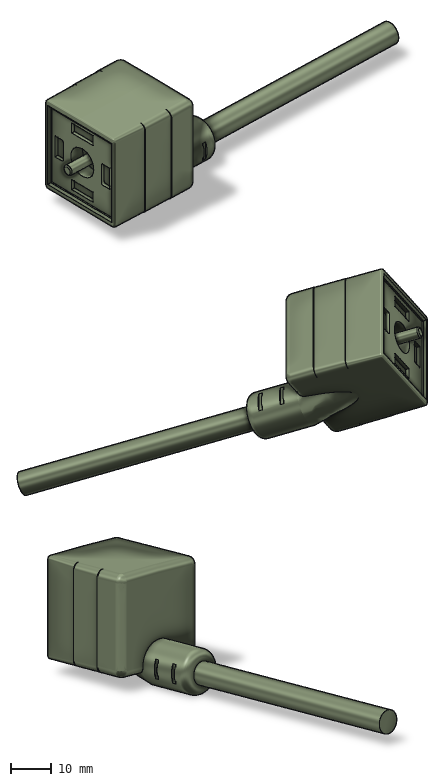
import cadquery as cq

total_length = 110.9

body_bottom = -13.4
roof_ridge = 13.4
roof_slope = 0.01
body_depth = 27.1
flat_half_width = 11.5
rear_step_y = 18.6
front_step_y = 10.0
rear_widths = (27.4, 27.2)
middle_widths = (26.4, 26.6)
front_widths = (25.1, 25.7)
back_rounding = 2.0
front_rounding = 0.5

recess_width = 21.7
recess_height = 22.5
recess_depth = 0.9
bevel_width = 0.7
bevel_depth = 0.4

slot_thickness = 3.0
slot_depth = 1.0
long_slot = 7.7
short_slot = 6.3
slot_offset_z = 8.5
slot_offset_x = 8.3
short_slot_rounding = 0.5
well_diameter = 8.2
well_depth = 4.0
pin_diameter = 2.9
pin_reach = 4.3
pin_bevel = 0.3

sleeve_diameter = 12.0
sleeve_length = 14.9
sleeve_rounding = 2.0
sleeve_z = -11.3
cable_diameter = 6.2
cable_end_y = total_length - pin_reach
sleeve_end_y = body_depth + sleeve_length

notch_width = 1.0
notch_depth = 0.5
notch_pitch = 6.0
first_notch_y = body_depth + 4.4

hump_slope = 0.28
hump_end_y = 11.1


def at_y(y):
    """Workplane facing +Y at the given depth; its local y axis points along +Z."""
    return cq.Workplane("XZ", origin=(0, y, 0)).transformed(rotate=(0, 180, 0))


def rod(diameter, y_start, y_end, z=0.0):
    return at_y(y_start).center(0, z).circle(diameter / 2).extrude(y_end - y_start)


def box(width, height, y_start, y_end):
    return at_y(y_start).rect(width, height).extrude(y_end - y_start)


def section_outline(width, y):
    """Rounded outline whose roof rises slightly to a ridge in the middle."""
    half_width = width / 2
    roof_edge = roof_ridge - roof_slope * half_width
    corners = [
        (-half_width, body_bottom),
        (half_width, body_bottom),
        (half_width, roof_edge),
        (0, roof_ridge),
        (-half_width, roof_edge),
    ]
    prism = at_y(y).polyline(corners).close().extrude(1.1)
    rounded = prism.edges("|Y").edges("<X or >X").fillet(half_width - flat_half_width)
    return rounded.faces("<Y").wires().val()


def housing_section(widths, y_front, y_back):
    """Rounded block with its own width at each end."""
    outlines = [section_outline(widths[0], y_front), section_outline(widths[1], y_back)]
    return cq.Workplane(cq.Solid.makeLoft(outlines, True))


def housing():
    rear = housing_section(rear_widths, rear_step_y, body_depth).faces(">Y").edges().fillet(back_rounding)
    middle = housing_section(middle_widths, front_step_y, rear_step_y)
    front = housing_section(front_widths, 0, front_step_y).faces("<Y").edges().fillet(front_rounding)
    return rear.union(middle).union(front)


def recess():
    pocket = box(recess_width, recess_height, 0, recess_depth)
    bevel = (
        at_y(0)
        .rect(recess_width + 2 * bevel_width, recess_height + 2 * bevel_width)
        .workplane(offset=bevel_depth)
        .rect(recess_width, recess_height)
        .loft()
    )
    return pocket.union(bevel)


def contact_openings():
    floor_y = recess_depth + slot_depth
    horizontal = box(long_slot, slot_thickness, recess_depth, floor_y)
    upright = box(slot_thickness, short_slot, recess_depth, floor_y)
    openings = rod(well_diameter, recess_depth, recess_depth + well_depth)
    for side, inner_edges in ((-1, ">X"), (1, "<X")):
        rounded = upright.faces(inner_edges).edges("|Y").fillet(short_slot_rounding)
        openings = openings.union(horizontal.translate((0, 0, side * slot_offset_z)))
        openings = openings.union(rounded.translate((side * slot_offset_x, 0, 0)))
    return openings


def pin():
    shank = rod(pin_diameter, -pin_reach, recess_depth + well_depth)
    return shank.faces("<Y").chamfer(pin_bevel)


def sleeve():
    barrel = rod(sleeve_diameter, body_depth, sleeve_end_y, sleeve_z)
    barrel = barrel.faces(">Y").edges().fillet(sleeve_rounding)
    notch_x = sleeve_diameter / 2 - notch_depth / 2
    notch = cq.Workplane().box(notch_depth, notch_width, sleeve_diameter)
    for side in (-1, 1):
        for index in range(2):
            place = (side * notch_x, first_notch_y + index * notch_pitch, sleeve_z)
            barrel = barrel.cut(notch.translate(place))
    return barrel


def hump():
    length = body_depth - hump_end_y
    return (
        at_y(hump_end_y)
        .center(0, sleeve_z + hump_slope * length)
        .circle(sleeve_diameter / 2)
        .workplane(offset=length)
        .center(0, -hump_slope * length)
        .circle(sleeve_diameter / 2)
        .loft(ruled=True)
    )


def cable():
    return rod(cable_diameter, sleeve_end_y - sleeve_rounding, cable_end_y, sleeve_z)


shell = housing().union(hump()).cut(recess()).cut(contact_openings())
result = shell.union(pin()).union(sleeve()).union(cable())